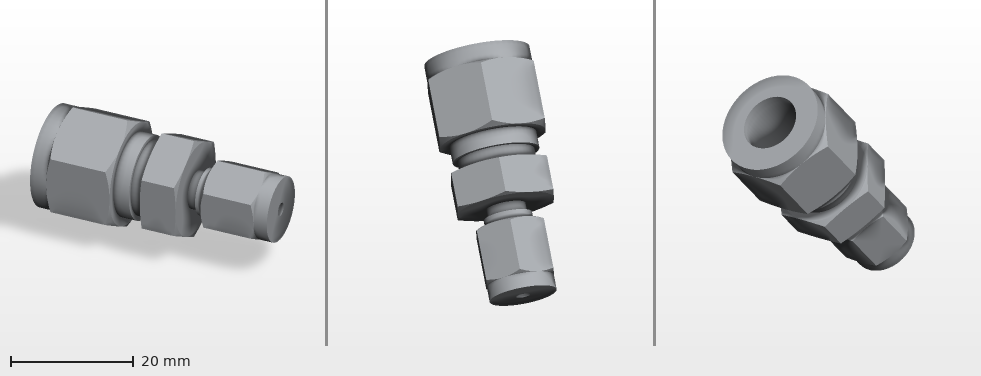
import cadquery as cq
import math


large_sleeve_end = 2.85
large_nut_end = 14.25
large_collar_end = 16.95
large_neck_end = 19.25
middle_hex_end = 25.68
small_neck_end = 27.35
small_collar_end = 29.05
small_nut_end = 38.48
total_length = 40.9

HEX_SIDES = 6

large_nut_width = 17.45
middle_hex_width = 15.85
small_nut_width = 11.12

large_collar_diameter = 14.4
large_neck_diameter = 12.75
small_neck_diameter = 6.5
small_collar_diameter = 8.0

nut_chamfer_angle = 30.0
middle_chamfer_angle = 15.0

socket_diameter = 9.53
socket_depth = large_collar_end
passage_diameter = 2.3


def cylinder(start, end, diameter):
    """Round stretch between two stations on the axis."""
    return cq.Workplane("YZ", origin=(start, 0, 0)).circle(diameter / 2).extrude(end - start)


def chamfered_hexagon(start, end, width, chamfer_angle):
    """Hexagon with corners at +Z and -Z, turned to a cone at both ends."""
    flat_radius = width / 2
    corner_radius = flat_radius / math.cos(math.radians(180 / HEX_SIDES))
    setback = (corner_radius - flat_radius) * math.tan(math.radians(chamfer_angle))
    prism = (
        cq.Workplane("YZ", origin=(start, 0, 0))
        .transformed(rotate=(0, 0, 90))
        .polygon(HEX_SIDES, 2 * corner_radius)
        .extrude(end - start)
    )
    turned_envelope = (
        cq.Workplane("XY")
        .moveTo(start, 0)
        .lineTo(start, flat_radius)
        .lineTo(start + setback, corner_radius)
        .lineTo(end - setback, corner_radius)
        .lineTo(end, flat_radius)
        .lineTo(end, 0)
        .close()
        .revolve(360, (0, 0, 0), (1, 0, 0))
    )
    return prism.intersect(turned_envelope)


body = cylinder(0, large_sleeve_end, large_nut_width)
body = body.union(chamfered_hexagon(large_sleeve_end, large_nut_end, large_nut_width, nut_chamfer_angle))
body = body.union(cylinder(large_nut_end, large_collar_end, large_collar_diameter))
body = body.union(cylinder(large_collar_end, large_neck_end, large_neck_diameter))

body = body.union(
    chamfered_hexagon(large_neck_end, middle_hex_end, middle_hex_width, middle_chamfer_angle)
)

body = body.union(cylinder(middle_hex_end, small_neck_end, small_neck_diameter))
body = body.union(cylinder(small_neck_end, small_collar_end, small_collar_diameter))
body = body.union(chamfered_hexagon(small_collar_end, small_nut_end, small_nut_width, nut_chamfer_angle))
body = body.union(cylinder(small_nut_end, total_length, small_nut_width))

socket = cylinder(0, socket_depth, socket_diameter)
passage = cylinder(0, total_length, passage_diameter)
result = body.cut(socket).cut(passage)